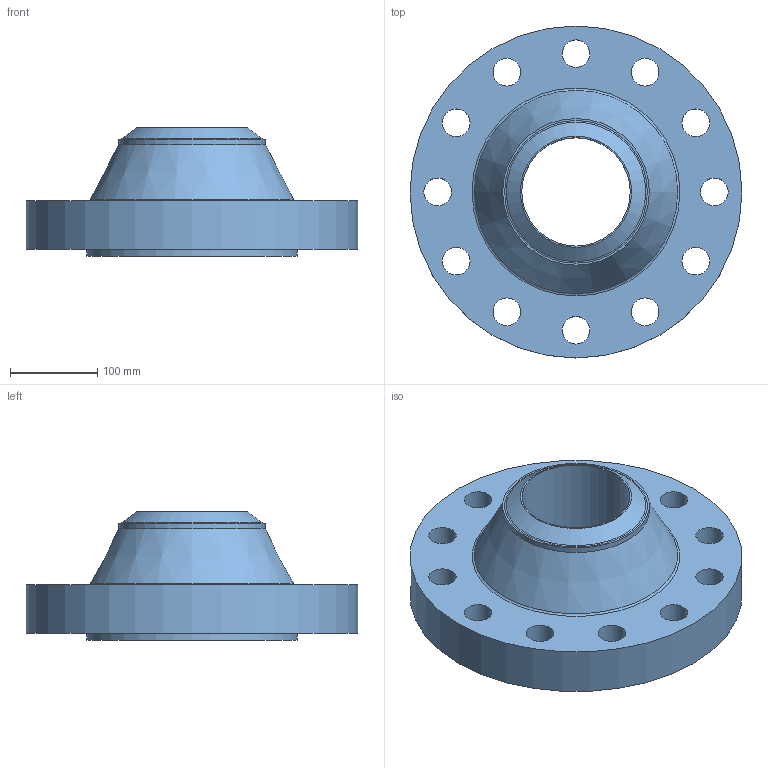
import cadquery as cq
import math


flange_diameter = 381.0
flange_thickness = 55.6
raised_face_diameter = 241.3
raised_face_height = 7.94
overall_height = 147.64
bore_diameter = 124.4

bolt_hole_count = 12
bolt_hole_diameter = 31.75
bolt_circle_diameter = 317.5

hub_base_diameter = 235.0
neck_diameter = 168.3
neck_start_depth = 19.5
weld_root_width = 1.6
bevel_angle = 37.5
ledge_width = 3.3
fillet_radius = 3.0

flange_top_z = raised_face_height + flange_thickness
neck_start_z = overall_height - neck_start_depth
weld_root_radius = bore_diameter / 2 + weld_root_width
bevel_base_radius = neck_diameter / 2 - ledge_width
bevel_height = (bevel_base_radius - weld_root_radius) * math.tan(math.radians(bevel_angle))
ledge_z = overall_height - bevel_height


def make_body():
    """Revolve the half section (radius, height) about the Z axis."""
    half_section = [
        (bore_diameter / 2, 0),
        (raised_face_diameter / 2, 0),
        (raised_face_diameter / 2, raised_face_height),
        (flange_diameter / 2, raised_face_height),
        (flange_diameter / 2, flange_top_z),
        (hub_base_diameter / 2, flange_top_z),
        (neck_diameter / 2, neck_start_z),
        (neck_diameter / 2, ledge_z),
        (bevel_base_radius, ledge_z),
        (weld_root_radius, overall_height),
        (bore_diameter / 2, overall_height),
    ]
    return cq.Workplane("XZ").polyline(half_section).close().revolve(360, (0, 0), (0, 1))


def fillet_ring(body, radius, height):
    """Round the circular edge of the given radius at the given height."""
    tolerance = 0.01

    def is_ring(edge):
        same_radius = edge.geomType() == "CIRCLE" and abs(edge.radius() - radius) < tolerance
        return same_radius and abs(edge.Center().z - height) < tolerance

    return body.edges().filter(is_ring).fillet(fillet_radius)


def make_bolt_holes():
    """Cylinders through the flange disc, the first one on the +X axis."""
    return (
        cq.Workplane("XY")
        .workplane(offset=raised_face_height)
        .polarArray(bolt_circle_diameter / 2, 0, 360, bolt_hole_count)
        .circle(bolt_hole_diameter / 2)
        .extrude(flange_thickness)
    )


body = make_body()
body = fillet_ring(body, hub_base_diameter / 2, flange_top_z)
body = fillet_ring(body, bevel_base_radius, ledge_z)
result = body.cut(make_bolt_holes())